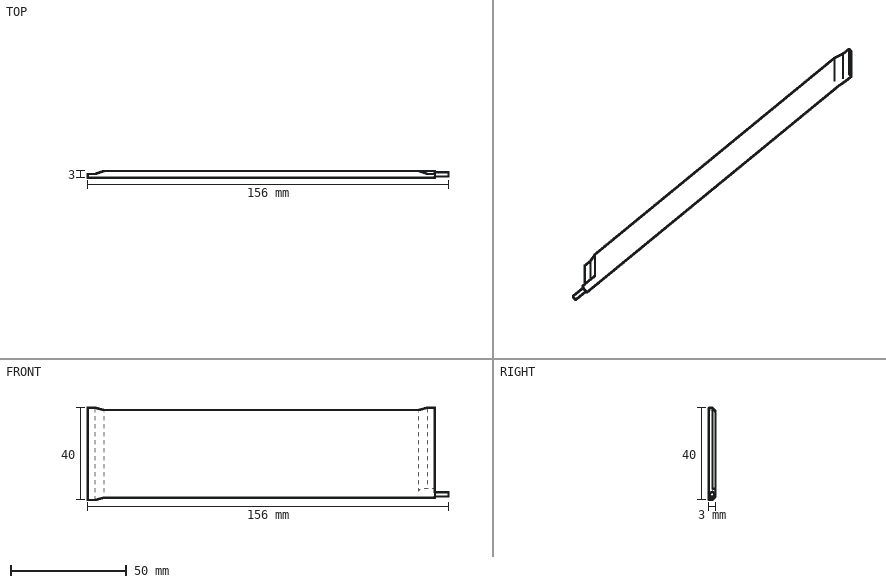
import cadquery as cq
import math

body_length = 150.0
lead_length = 6.0

full_thickness = 3.0
full_height = 38.0
full_radius = 1.0

pressed_thickness = 1.7
pressed_height = 40.0
pressed_radius = 0.5

pressed_length = 3.2
ramp_length = 3.8

corner_height = 4.0
lead_diameter = 2.0
lead_rise = 1.5
lead_embed = 5.0

ramp_end = pressed_length + ramp_length
full_bottom = -full_height / 2


def section(thickness, height, radius):
    """Rounded rectangle with its front edge on Y = 0, centred on Z = 0."""
    outline = cq.Sketch().rect(thickness, height).vertices().fillet(radius)
    return outline.moved(cq.Location(cq.Vector(thickness / 2, 0, 0)))


full_section = section(full_thickness, full_height, full_radius)
pressed_section = section(pressed_thickness, pressed_height, pressed_radius)


def plane_at(x):
    """Workplane across the bar at x, with Y and Z as its axes."""
    return cq.Workplane("YZ", origin=(x, 0, 0))


def pressed_end(tip_x, direction):
    """Pressed end and its ramp, running from tip_x along X in the given direction."""
    tip = plane_at(tip_x).placeSketch(pressed_section).extrude(direction * pressed_length)
    ramp_far = full_section.moved(cq.Location(cq.Vector(0, 0, direction * ramp_length)))
    ramp_plane = plane_at(tip_x + direction * pressed_length)
    ramp = ramp_plane.placeSketch(pressed_section, ramp_far).loft(ruled=True)
    return tip.union(ramp)


def corner_region():
    """Lower region of the lead end that keeps the full section, with a rounded top back edge."""
    top = full_bottom + corner_height
    floor = -pressed_height / 2
    arc_inset = full_radius * (1 - math.sqrt(0.5))
    return (
        plane_at(body_length - ramp_end)
        .moveTo(0, floor)
        .lineTo(full_thickness, floor)
        .lineTo(full_thickness, top - full_radius)
        .threePointArc(
            (full_thickness - arc_inset, top - arc_inset),
            (full_thickness - full_radius, top),
        )
        .lineTo(0, top)
        .close()
        .extrude(ramp_end)
    )


def lead():
    """Round lead parallel to X, sticking out past the end of the bar."""
    center = (full_thickness / 2, full_bottom + lead_rise)
    start = plane_at(body_length - lead_embed).center(*center)
    return start.circle(lead_diameter / 2).extrude(lead_embed + lead_length)


middle = plane_at(ramp_end).placeSketch(full_section).extrude(body_length - 2 * ramp_end)
plain_end = pressed_end(0, 1)

region = corner_region()
unpressed_end = plane_at(body_length - ramp_end).placeSketch(full_section).extrude(ramp_end)
unpressed_corner = unpressed_end.intersect(region)
lead_end = pressed_end(body_length, -1).cut(region).union(unpressed_corner)

result = middle.union(plain_end).union(lead_end).union(lead()).clean()